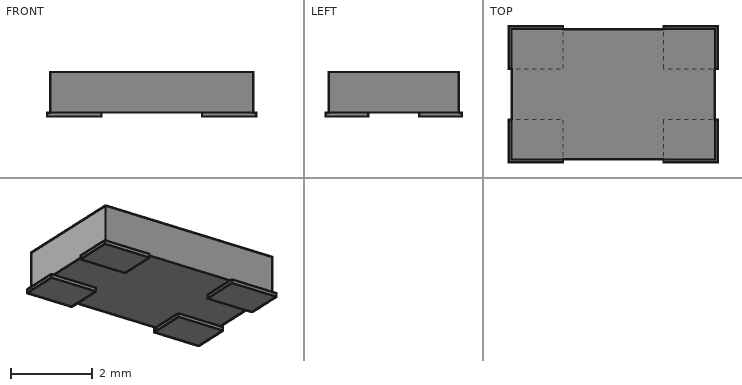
import cadquery as cq

overall_length = 5.14
overall_width = 3.34
overall_height = 1.1

pad_length = 1.335
pad_width = 1.05
pad_thickness = 0.1
pad_overhang = 0.07

housing_length = overall_length - 2 * pad_overhang
housing_width = overall_width - 2 * pad_overhang
housing_height = overall_height - pad_thickness


def make_housing():
    """Plain rectangular block with its underside on the pad tops."""
    return (
        cq.Workplane("XY")
        .workplane(offset=pad_thickness)
        .rect(housing_length, housing_width)
        .extrude(housing_height)
    )


def make_pad(x_side, y_side):
    """Flat pad at the corner given by the signs of X and Y."""
    center_x = x_side * (overall_length - pad_length) / 2
    center_y = y_side * (overall_width - pad_width) / 2
    return (
        cq.Workplane("XY")
        .center(center_x, center_y)
        .rect(pad_length, pad_width)
        .extrude(pad_thickness)
    )


housing = make_housing()
pads = [make_pad(x_side, y_side) for x_side in (-1, 1) for y_side in (-1, 1)]

result = cq.Compound.makeCompound([housing.val(), *[pad.val() for pad in pads]])